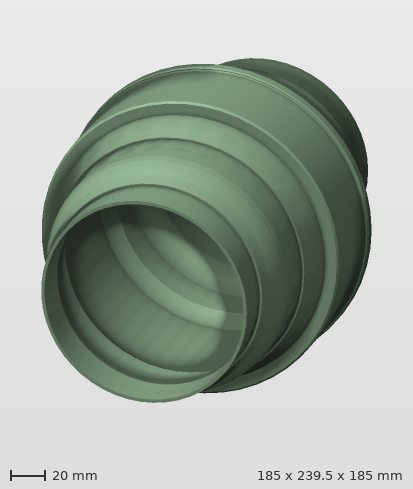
import cadquery as cq
import math

total_length = 239.5

spigot_radius = 62.5
spigot_length = 25.0
spigot_wall = 2.0

shoulder_start_radius = 64.0
shoulder_end_radius = 72.4
shoulder_length = 16.8
shoulder_sagitta = 0.4
shoulder_taper_length = 4.7

barrel_small_radius = 73.3
barrel_large_radius = 74.2
barrel_length = 24.7
cone_small_radius = 75.5
cone_large_radius = 82.3
cone_length = 19.4

housing_radius = 90.5
housing_edge_chamfer = 1.2
flange_radius = 92.5
flange_width = 6.2
flange_chamfer = 0.7

swell_length = 20.0
swell_sagitta = 0.65
chamber_radius = 69.5
chamber_length = 25.0
inner_cone_length = 13.0
hall_radius = 75.25

half_length = total_length / 2
spigot_end = half_length - spigot_length
shoulder_end = spigot_end - shoulder_length
barrel_start = shoulder_end - shoulder_taper_length
cone_start = barrel_start - barrel_length
housing_end = cone_start - cone_length
swell_end = spigot_end - swell_length
inner_cone_start = swell_end - chamber_length
inner_cone_end = inner_cone_start - inner_cone_length


def revolve_about_y(profile):
    return profile.close().revolve(360, (0, 0, 0), (0, 1, 0))


def both_ends(half):
    """Join a +Y half to its mirror image across the XZ plane."""
    return half.union(half.mirror("XZ"))


def arc_middle(start, end, sagitta):
    """Middle point of an arc that rises by `sagitta` to the left of its chord."""
    dx = end[0] - start[0]
    dy = end[1] - start[1]
    chord = math.hypot(dx, dy)
    return (
        (start[0] + end[0]) / 2 - sagitta * dy / chord,
        (start[1] + end[1]) / 2 + sagitta * dx / chord,
    )


def add_s_curve(profile, start, end, sagitta):
    """Continue a profile from `start` to `end` with two equal, opposite arcs."""
    middle = ((start[0] + end[0]) / 2, (start[1] + end[1]) / 2)
    return (
        profile
        .threePointArc(arc_middle(start, middle, -sagitta), middle)
        .threePointArc(arc_middle(middle, end, sagitta), end)
    )


def outer_half():
    """Solid +Y half: spigot, curved shoulder, barrel and cone."""
    shoulder_from = (shoulder_start_radius, spigot_end)
    shoulder_to = (shoulder_end_radius, shoulder_end)
    profile = (
        cq.Workplane("XY")
        .lineTo(0, half_length)
        .lineTo(spigot_radius, half_length)
        .lineTo(spigot_radius, spigot_end)
        .lineTo(*shoulder_from)
    )
    profile = (
        add_s_curve(profile, shoulder_from, shoulder_to, shoulder_sagitta)
        .lineTo(barrel_small_radius, barrel_start)
        .lineTo(barrel_large_radius, cone_start)
        .lineTo(cone_small_radius, cone_start)
        .lineTo(cone_large_radius, housing_end)
        .lineTo(cone_large_radius, 0)
    )
    return revolve_about_y(profile)


def housing():
    """Solid central drum with a chamfered -Y edge and a flange on the +Y edge."""
    flange_back = housing_end - flange_width
    profile = (
        cq.Workplane("XY")
        .moveTo(0, -housing_end)
        .lineTo(housing_radius - housing_edge_chamfer, -housing_end)
        .lineTo(housing_radius, -housing_end + housing_edge_chamfer)
        .lineTo(housing_radius, flange_back - flange_chamfer)
        .lineTo(housing_radius + flange_chamfer, flange_back)
        .lineTo(flange_radius - flange_chamfer, flange_back)
        .lineTo(flange_radius, flange_back + flange_chamfer)
        .lineTo(flange_radius, housing_end)
        .lineTo(0, housing_end)
    )
    return revolve_about_y(profile)


def cavity_half():
    """Hollow of the +Y half: bore, S-shaped swell, chamber, cone and hall."""
    bore_radius = spigot_radius - spigot_wall
    swell_from = (bore_radius, spigot_end)
    swell_to = (chamber_radius, swell_end)
    profile = (
        cq.Workplane("XY")
        .lineTo(0, half_length)
        .lineTo(bore_radius, half_length)
        .lineTo(*swell_from)
    )
    profile = (
        add_s_curve(profile, swell_from, swell_to, swell_sagitta)
        .lineTo(chamber_radius, inner_cone_start)
        .lineTo(hall_radius, inner_cone_end)
        .lineTo(hall_radius, 0)
    )
    return revolve_about_y(profile)


result = both_ends(outer_half()).union(housing()).cut(both_ends(cavity_half()))